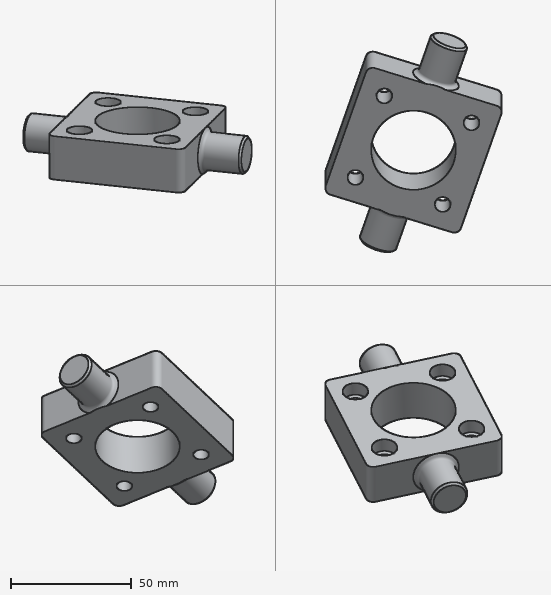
import cadquery as cq
import math

overall_length = 95.0
plate_side = 59.0
plate_thickness = 19.0
corner_radius = 3.0
bore_diameter = 35.0

hole_spacing = 38.0
hole_diameter = 6.5
counterbore_diameter = 10.5
counterbore_depth = 6.3

trunnion_radius = 8.0
trunnion_drop = 0.5
tip_chamfer = 0.95
root_radius = plate_thickness / 2 + trunnion_drop
root_fillet = 1.5
root_turn = math.radians(60)

plate_face_x = plate_side / 2
tip_x = overall_length / 2


def make_plate():
    plate = (
        cq.Workplane("XY")
        .box(plate_side, plate_side, plate_thickness)
        .edges("|Z")
        .fillet(corner_radius)
    )
    return plate.faces(">Z").workplane().hole(bore_diameter)


def drill_screw_holes(plate):
    return (
        plate.faces(">Z")
        .workplane()
        .rect(hole_spacing, hole_spacing, forConstruction=True)
        .vertices()
        .cboreHole(hole_diameter, counterbore_diameter, counterbore_depth)
    )


def make_trunnion():
    """Revolved +X trunnion: a cone at the plate, a concave fillet, a cylinder and a chamfered tip."""
    cone_end_radius = trunnion_radius + root_fillet * (1 - math.cos(root_turn))
    cone_length = (root_radius - cone_end_radius) / math.tan(root_turn)
    cone_end_x = plate_face_x + cone_length
    cylinder_start_x = cone_end_x + root_fillet * math.sin(root_turn)
    arc_middle = (
        cylinder_start_x - root_fillet * math.sin(root_turn / 2),
        trunnion_radius + root_fillet * (1 - math.cos(root_turn / 2)),
    )
    profile = (
        cq.Workplane("XY")
        .moveTo(plate_face_x, 0)
        .lineTo(plate_face_x, root_radius)
        .lineTo(cone_end_x, cone_end_radius)
        .threePointArc(arc_middle, (cylinder_start_x, trunnion_radius))
        .lineTo(tip_x - tip_chamfer, trunnion_radius)
        .lineTo(tip_x, trunnion_radius - tip_chamfer)
        .lineTo(tip_x, 0)
        .close()
    )
    trunnion = profile.revolve(360, (0, 0, 0), (1, 0, 0)).translate((0, 0, -trunnion_drop))
    flush_slab = cq.Workplane("XY").box(overall_length, plate_side, plate_thickness)
    return trunnion.intersect(flush_slab)


trunnion = make_trunnion()
plate = drill_screw_holes(make_plate())
result = plate.union(trunnion).union(trunnion.mirror("YZ"))